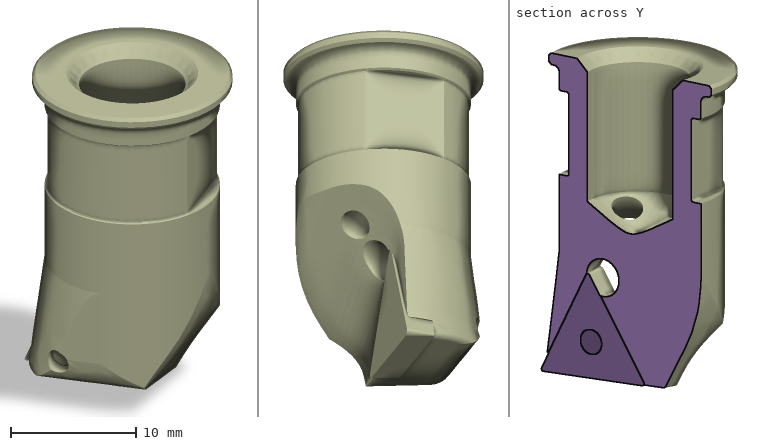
import cadquery as cq
import math


flange_radius = 8.0
flange_thickness = 1.0
flange_chamfer = 0.25
shank_radius = 7.0
flange_fillet = 0.5
collar_bottom = -3.03
collar_chamfer = 0.13
neck_radius = 6.82
neck_bottom = -10.0
neck_fillet = 0.17
flat_distance = 5.98

bore_radius = 4.25
bore_chamfer = 1.0
bore_depth = 11.8
drill_point_angle = 118.0
coolant_diameter = 2.5
coolant_entry = cq.Vector(-2.15, 1.7, -12.7)
coolant_exit = cq.Vector(-2.9, 3.2, -15.2)
coolant_overrun = 2.0

flare_top = -16.5
flare_slope = 0.133
body_bottom = -28.0
end_tilt = 3.0
end_clearance = 7.0
end_height = -26.42
heel_radius = 3.0
relief_top = -16.2
relief_x = 7.07
relief_radius = 13.0
relief_angle = 28.0
end_edge_fillet = 0.4
relief_clearance = 8.0

floor_y = 0.41
flute_angle = 30.0
flute_wall_angle = 29.0
flute_upper_radius = 2.95
flute_wall_y = (3.43, 5.5)
flute_wall_height = -14.4

insert_circle_radius = 3.175
insert_nose_radius = 0.4
insert_thickness = 2.38
insert_clearance = 7.0
insert_face_y = 0.66
insert_x = -3.79
insert_z = -23.56
corner_hole_radius = 1.55
corner_hole_x = -2.65
corner_hole_z = -17.9
notch_top = -25.1
notch_x = -7.5
screw_z = insert_z + 0.08
screw_radius = 1.0
screw_chamfer = 0.17
screw_end_y = -5.6
screw_head_radius = 1.7
screw_head_height = 1.0

REACH = 30.0


def tan_deg(angle):
    return math.tan(math.radians(angle))


def turned(points):
    """Solid turned about Z from a closed (radius, height) outline."""
    return cq.Workplane("XZ").polyline(points).close().revolve(360, (0, 0), (0, 1))


def slanted_prism(wire, direction):
    """Solid swept from a planar wire along a straight, possibly slanted, direction."""
    return cq.Workplane(obj=cq.Solid.extrudeLinear(cq.Face.makeFromWires(wire), direction))


def upper_body():
    """Flange and collar above a filleted neck with two opposite flats."""
    head = (
        cq.Workplane("XZ")
        .moveTo(0, 0)
        .lineTo(flange_radius - flange_chamfer, 0)
        .lineTo(flange_radius, -flange_chamfer)
        .lineTo(flange_radius, flange_chamfer - flange_thickness)
        .lineTo(flange_radius - flange_chamfer, -flange_thickness)
        .lineTo(shank_radius + flange_fillet, -flange_thickness)
        .radiusArc((shank_radius, -flange_thickness - flange_fillet), -flange_fillet)
        .lineTo(shank_radius, collar_bottom + collar_chamfer)
        .lineTo(neck_radius, collar_bottom)
        .lineTo(neck_radius, neck_bottom + neck_fillet)
        .radiusArc((neck_radius + neck_fillet, neck_bottom), -neck_fillet)
        .lineTo(0, neck_bottom)
        .close()
        .revolve(360, (0, 0), (0, 1))
    )
    flat_height = collar_bottom - neck_bottom
    cutter = cq.Workplane("XY").box(
        shank_radius,
        2 * shank_radius,
        flat_height,
        centered=(False, True, False),
    )
    cutter = cutter.faces("<X").edges("|Y").fillet(neck_fillet)
    cutter = cutter.translate((flat_distance, 0, neck_bottom))
    return head.cut(cutter).cut(cutter.mirror("YZ"))


def lower_body():
    """Plain cylinder on the +X side; cone flaring downward, with a flat back, on the -X side."""
    length = neck_bottom - body_bottom
    cylinder = cq.Workplane("XY", origin=(0, 0, body_bottom)).circle(shank_radius).extrude(length)
    cone_radius = shank_radius + flare_slope * (flare_top - body_bottom)
    flared = turned([
        (0, neck_bottom),
        (shank_radius, neck_bottom),
        (shank_radius, flare_top),
        (cone_radius, body_bottom),
        (0, body_bottom),
    ])
    left_half = cq.Workplane("XY").box(REACH, REACH, 2 * REACH).translate((-REACH / 2, 0, 0))
    behind = cq.Workplane("XY").box(REACH, REACH, 2 * REACH)
    behind = behind.translate((0, REACH / 2 - shank_radius, 0))
    return cylinder.cut(left_half).union(flared.intersect(left_half).intersect(behind))


def end_face_z(y):
    """Height of the sloped end face above X = 0."""
    return end_height - (y - floor_y) * tan_deg(end_clearance)


def swept_along_end(profile):
    """Closed YZ outline, centred on the tool axis, swept along the tilt of the end face."""
    wire = profile.close().val().translate(cq.Vector(-REACH / 2, 0, -REACH / 2 * tan_deg(end_tilt)))
    return slanted_prism(wire, cq.Vector(REACH, 0, REACH * tan_deg(end_tilt)))


def sharp_end_envelope():
    """Space above the sloped end face."""
    return swept_along_end(
        cq.Workplane("YZ").polyline([
            (REACH, end_face_z(REACH)),
            (-REACH, end_face_z(-REACH)),
            (-REACH, REACH),
            (REACH, REACH),
        ])
    )


def heel_envelope():
    """Space above the end face and the round that joins it to the flat back."""
    slope = math.radians(end_clearance)
    back = -shank_radius
    center_y = back + heel_radius
    center_z = end_face_z(center_y) + heel_radius / math.cos(slope)
    tangent = (center_y - heel_radius * math.sin(slope), center_z - heel_radius * math.cos(slope))
    return swept_along_end(
        cq.Workplane("YZ")
        .moveTo(REACH, end_face_z(REACH))
        .lineTo(*tangent)
        .radiusArc((back, center_z), heel_radius)
        .lineTo(back, REACH)
        .lineTo(REACH, REACH)
    )


def relief_envelope():
    """Space kept on the +X side: an arc running into a slanted line, leaning inward toward -Y."""
    angle = math.radians(relief_angle)
    arc_x = relief_x - relief_radius * (1 - math.cos(angle))
    arc_z = relief_top - relief_radius * math.sin(angle)
    foot_x = arc_x - (arc_z - body_bottom) * math.tan(angle)
    lean = tan_deg(relief_clearance)
    wire = (
        cq.Workplane("XZ", origin=(lean * REACH / 2, REACH / 2, 0))
        .moveTo(-REACH, body_bottom)
        .lineTo(foot_x, body_bottom)
        .lineTo(arc_x, arc_z)
        .radiusArc((relief_x, relief_top), -relief_radius)
        .lineTo(relief_x, neck_bottom)
        .lineTo(-REACH, neck_bottom)
        .close()
        .val()
    )
    return slanted_prism(wire, cq.Vector(-lean * REACH, -REACH, 0))


def flute():
    """Chip flute: an S-shaped wall above a flat floor, running straight down toward +X."""
    wall = math.radians(flute_wall_angle)
    low_y, high_y = flute_wall_y
    high_z = flute_wall_height + (high_y - low_y) * math.tan(wall)
    turn = math.pi / 2 - wall
    lower_radius = (low_y - floor_y) / (1 - math.cos(turn))
    floor_z = flute_wall_height - lower_radius * math.sin(turn)
    top_y = high_y + flute_upper_radius * (1 - math.sin(wall))
    top_z = high_z + flute_upper_radius * math.cos(wall)
    profile = (
        cq.Workplane("YZ", origin=(-REACH, 0, 0))
        .moveTo(floor_y, -2 * REACH)
        .lineTo(floor_y, floor_z)
        .radiusArc((low_y, flute_wall_height), lower_radius)
        .lineTo(high_y, high_z)
        .radiusArc((top_y, top_z), -flute_upper_radius)
        .lineTo(REACH, top_z)
        .lineTo(REACH, -2 * REACH)
        .close()
    )
    return profile.extrude(2 * REACH).rotate((0, 0, 0), (0, 1, 0), flute_angle)


def bore():
    """Chamfered blind bore with a drill-point bottom."""
    point_depth = bore_radius / tan_deg(drill_point_angle / 2)
    return turned([
        (0, 0),
        (bore_radius + bore_chamfer, 0),
        (bore_radius, -bore_chamfer),
        (bore_radius, -bore_depth),
        (0, -bore_depth - point_depth),
    ])


def coolant_hole():
    """Slanted hole from the bottom of the bore into the flute."""
    axis = coolant_exit - coolant_entry
    direction = axis.normalized()
    start = coolant_entry - direction * coolant_overrun
    length = axis.Length + 2 * coolant_overrun
    return cq.Workplane(obj=cq.Solid.makeCylinder(coolant_diameter / 2, length, start, direction))


def insert_blank(height_above=0.0):
    """Rounded triangle tapering toward -Y, optionally carried on straight above its face."""
    corner_distance = 2 * insert_circle_radius
    plane = cq.Plane((insert_x, insert_face_y, insert_z), (1, 0, 0), (0, -1, 0))
    corners = []
    for index in range(3):
        angle = math.radians(90 + end_tilt + 120 * index)
        corners.append((corner_distance * math.cos(angle), corner_distance * math.sin(angle)))
    outline = cq.Sketch().polygon(corners + corners[:1]).vertices().fillet(insert_nose_radius)
    blank = cq.Workplane(plane).placeSketch(outline).extrude(insert_thickness, taper=insert_clearance)
    if height_above:
        blank = blank.union(cq.Workplane(plane).placeSketch(outline).extrude(-height_above))
    return blank


def y_cylinder(radius, x, z, y_from, y_to):
    """Cylinder along Y that runs from y_from down to y_to."""
    start = cq.Workplane("XZ", origin=(x, y_from, z))
    return start.circle(radius).extrude(y_from - y_to)


def corner_hole():
    """Clearance hole through the flute wall beside the upper corner of the insert pocket."""
    pocket_floor = insert_face_y - insert_thickness
    return y_cylinder(corner_hole_radius, corner_hole_x, corner_hole_z, shank_radius, pocket_floor)


def pocket_notch():
    """Square opening of the pocket that bares the outer corner of the insert."""
    depth = shank_radius - insert_face_y + insert_thickness
    notch = cq.Workplane("XY").box(REACH, depth, REACH, centered=False)
    return notch.translate((notch_x - REACH, insert_face_y - insert_thickness, notch_top - REACH))


def make_screw():
    """Countersunk screw with a chamfered end, its head flush with the insert face."""
    shank = y_cylinder(screw_radius, insert_x, screw_z, insert_face_y, screw_end_y)
    shank = shank.faces("<Y").chamfer(screw_chamfer)
    head = cq.Solid.makeCone(
        screw_head_radius,
        screw_radius,
        screw_head_height,
        cq.Vector(insert_x, insert_face_y, screw_z),
        cq.Vector(0, -1, 0),
    )
    return shank.union(cq.Workplane(obj=head))


def make_housing():
    """Turned head on a flared tool end, cut for the flute, bore, coolant, insert and screw."""
    body = lower_body().intersect(sharp_end_envelope()).intersect(relief_envelope())
    body = body.faces("<Z").edges("<X or >X").fillet(end_edge_fillet)
    body = body.intersect(heel_envelope())
    body = body.cut(flute()).union(upper_body())
    body = body.cut(bore()).cut(coolant_hole())
    body = body.cut(insert_blank(shank_radius)).cut(corner_hole()).cut(pocket_notch())
    screw_hole = y_cylinder(screw_radius, insert_x, screw_z, insert_face_y, -REACH)
    return body.cut(screw_hole)


screw = make_screw()
insert = insert_blank().cut(screw)
housing = make_housing()

result = cq.Compound.makeCompound([body.solids().val() for body in (housing, insert, screw)])